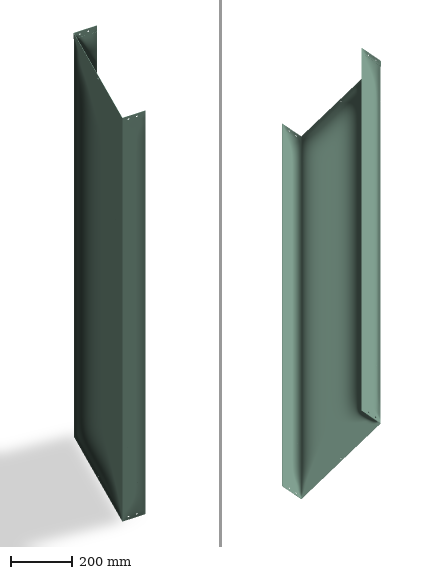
import cadquery as cq

width = 402.0
depth = 82.0
height = 1999.0
sheet = 1.2

lip_offset = 0.4
lip_height = 30.0
lip_bottom = height - lip_height

hole_diameter = 7.0
hole_from_end = 15.0
flange_hole_from_front = 22.0
flange_hole_pitch = 30.0

hole_levels = [hole_from_end, height - hole_from_end]
flange_hole_rows = [flange_hole_from_front, flange_hole_from_front + flange_hole_pitch]


def channel(inset, bottom, top):
    """Straight U channel, its outer faces moved inward by inset from the overall size."""
    outer_x = width / 2 - inset
    inner_x = outer_x - sheet
    front_y = inset
    web_back_y = front_y + sheet
    outline = [
        (-outer_x, front_y),
        (outer_x, front_y),
        (outer_x, depth),
        (inner_x, depth),
        (inner_x, web_back_y),
        (-inner_x, web_back_y),
        (-inner_x, depth),
        (-outer_x, depth),
    ]
    section = cq.Workplane("XY").workplane(offset=bottom).polyline(outline).close()
    return section.extrude(top - bottom)


def web_holes():
    points = [(0, level) for level in hole_levels]
    drill = cq.Workplane("XZ").pushPoints(points).circle(hole_diameter / 2)
    return drill.extrude(depth, both=True)


def flange_holes():
    points = [(row, level) for row in flange_hole_rows for level in hole_levels]
    drill = cq.Workplane("YZ").pushPoints(points).circle(hole_diameter / 2)
    return drill.extrude(width, both=True)


body = channel(lip_offset, 0, lip_bottom)
lip = channel(0, lip_bottom, height)
result = body.union(lip).cut(web_holes()).cut(flange_holes())